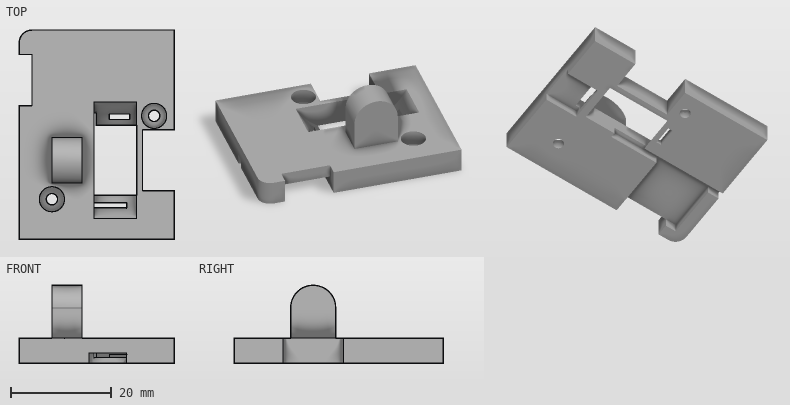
import cadquery as cq

plate_width = 30.8
plate_length = 41.5
plate_thickness = 5.0
corner_radius = 2.57

axis_y = 15.7
axis_z = 11.0
post_left = 6.5
post_width = 5.98
post_radius = 4.5
wheel_radius = 13.0
wheel_left = 14.85
wheel_width = 8.42

left_notch_depth = 2.55
left_notch_start = 26.5
left_notch_length = 10.1
right_notch_depth = 6.3
right_notch_start = 9.65
right_notch_length = 12.05

channel_left = 13.8
channel_height = 2.0
front_channel_width = 7.5
front_channel_length = 7.22
back_channel_width = 1.45
pocket_height = 2.3
rear_wall = left_notch_depth

slot_left = 17.9
slot_start = 23.8
slot_width = 4.03
slot_length = 1.05

screw_points = [(6.5, 7.95), (26.75, 24.5)]
screw_diameter = 2.2
counterbore_diameter = 5.0
counterbore_depth = 3.0


def block(x, y, width, length, height):
    """Box standing on the underside plane, placed by its lower left corner."""
    return cq.Workplane("XY").box(width, length, height, centered=False).translate((x, y, 0))


def cylinder_along_x(left, width, radius):
    """Cylinder on the shared axis."""
    return cq.Workplane("YZ", origin=(left, axis_y, axis_z)).circle(radius).extrude(width)


plate = block(0, 0, plate_width, plate_length, plate_thickness)
plate = plate.edges("|Z and <X and >Y").fillet(corner_radius)

plate = plate.cut(block(0, left_notch_start, left_notch_depth, left_notch_length, plate_thickness))
plate = plate.cut(
    block(
        plate_width - right_notch_depth,
        right_notch_start,
        right_notch_depth,
        right_notch_length,
        plate_thickness,
    )
)

plate = plate.cut(cylinder_along_x(wheel_left, wheel_width, wheel_radius))

plate = plate.cut(block(channel_left, 0, front_channel_width, front_channel_length, channel_height))

plate = plate.cut(
    block(channel_left, axis_y, back_channel_width, plate_length - axis_y, channel_height)
)

pocket_right = channel_left + back_channel_width
pocket_back = plate_length - rear_wall
plate = plate.cut(block(0, left_notch_start, pocket_right, left_notch_length, pocket_height))
plate = plate.cut(
    block(
        left_notch_depth,
        left_notch_start,
        pocket_right - left_notch_depth,
        pocket_back - left_notch_start,
        pocket_height,
    )
)

plate = plate.cut(block(slot_left, slot_start, slot_width, slot_length, plate_thickness))

plate = (
    plate.faces(">Z")
    .workplane(origin=(0, 0, plate_thickness))
    .pushPoints(screw_points)
    .cboreHole(screw_diameter, counterbore_diameter, counterbore_depth)
)

post_foot = block(post_left, axis_y - post_radius, post_width, 2 * post_radius, axis_z)
post_foot = post_foot.cut(block(post_left, 0, post_width, plate_length, plate_thickness))
post = post_foot.union(cylinder_along_x(post_left, post_width, post_radius))

result = plate.union(post)